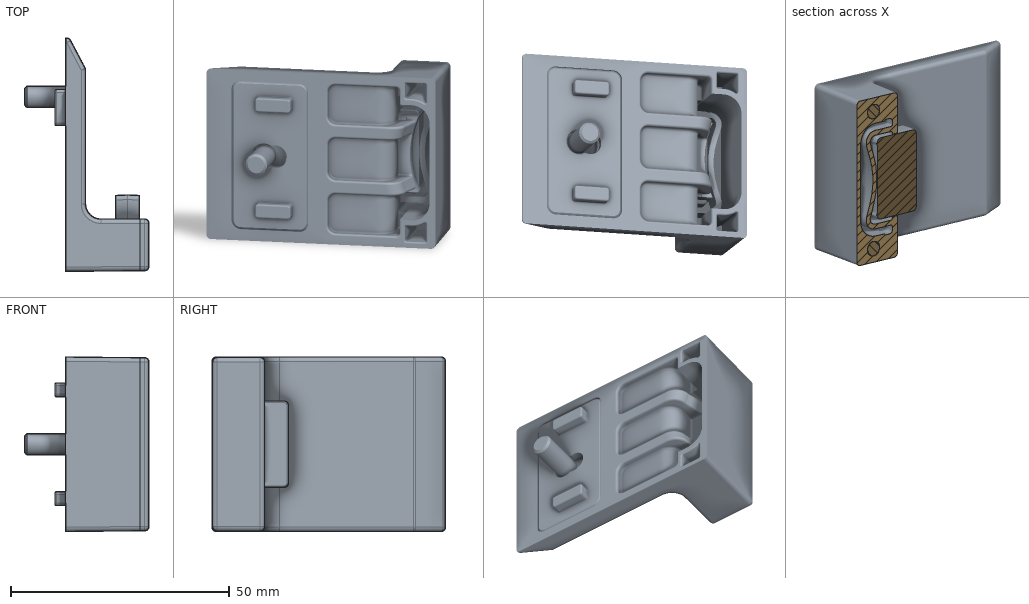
import cadquery as cq
import math

length = 53.5
height = 40.0
joint_x = 17.05
draft_angle = 0.5
cover_thickness = 2.05
outer_depth = joint_x + cover_thickness
edge_radius = 1.0

plate_thickness = 4.6
tip_thickness = 0.85
slope_start_y = 46.4
foot_width = 12.05
bend_radius = 3.5

pocket_depth = 1.6
pocket_end_y = 25.25
pocket_wall_y = 10.45
pocket_floor_x = 8.55
pocket_corner_radius = 1.9
pocket_low_corner_radius = 0.85
pocket_edge_radius = 0.5
rib_start_y = 21.4
outer_pocket_low_y = 8.4
middle_pocket_low_y = 5.35
middle_pocket_half_height = 5.05
outer_pocket_z = (8.1, 17.5)

chamber_low_y = 1.35
chamber_half_height = 13.55
chamber_corner_radius = 4.3
relief_half_height = 13.85
guide_half_height = 8.85
relief_radius = 0.8
rib_end_y = 7.7
rib_end_lean = 1.2
rib_nose_radius = 3.55

spring_thickness = 1.3
spring_start_x = 11.4
spring_end_x = 16.6
spring_arm_z = 11.3
spring_corner_y = 5.5
spring_corner_radius = 2.05
spring_crest_y = 5.4
spring_bow_angle = math.radians(17.7)
spring_root_radius = 0.45

button_start_x = 11.4
button_end_x = 16.95
button_low_y = spring_crest_y + spring_thickness / 2
button_tip_y = 17.55
button_draft_angle = 2.0
button_half_height = 9.9
button_corner_radius = 1.05
button_edge_radius = 0.25

peg_y = 5.05
peg_z = 16.55
peg_radius = 1.65
peg_pocket_depth = 13.4
peg_pocket_y = (2.15, 7.1)
peg_pocket_top_z = 18.6
peg_pocket_wall = 1.4
peg_pocket_radius = 0.3
peg_pocket_rim_radius = 0.4

insert_thickness = 1.6
insert_y = (29.75, 47.65)
insert_height = 34.9
insert_corner_radius = 2.15
insert_chamfer = 0.55
key_length = 8.25
key_width = 3.2
key_root_radius = 0.15
key_projection = 2.45
key_y = 37.55
key_z = 12.45
key_corner_radius = 0.65
key_tip_radius = 0.4

bolt_y = 40.0
bolt_radius = 2.45
bolt_projection = 9.4
bolt_chamfer = 0.55
bolt_head_radius = 4.85
insert_hole_radius = 2.7
insert_hole_chamfer = 0.3

chamber_corner_y = chamber_low_y + chamber_corner_radius
chamber_corner_z = chamber_half_height - chamber_corner_radius
insert_middle_y = sum(insert_y) / 2


def spring_crest_radius():
    """Centre-line radius of the bow that runs tangent into the slanted legs."""
    sine, cosine = math.sin(spring_bow_angle), math.cos(spring_bow_angle)
    leg_y = spring_corner_y - spring_corner_radius * cosine
    leg_z = spring_arm_z - spring_corner_radius * (1 + sine)
    return (leg_y + leg_z * sine / cosine - spring_crest_y) / (1 / cosine - 1)


bow_radius = spring_crest_radius()
bow_centre_y = spring_crest_y - bow_radius
zone_margin = 0.05


def box(x_range, y_range, z_range):
    sizes = [max(r) - min(r) for r in (x_range, y_range, z_range)]
    corner = [min(r) for r in (x_range, y_range, z_range)]
    return cq.Workplane("XY").box(*sizes, centered=False).translate(tuple(corner))


def both_ends(shape):
    """The shape together with its mirror image about Z = 0."""
    return shape.union(shape.mirror("XY"))


def outer_shell():
    """Housing and cover as one rounded L-shaped block, before they are split."""
    block = (
        cq.Workplane("YZ").center(length / 2, 0).rect(length, height)
        .extrude(outer_depth, taper=draft_angle)
    )
    profile = (
        cq.Workplane("XY").moveTo(0, 0)
        .lineTo(outer_depth, 0)
        .lineTo(outer_depth, foot_width)
        .lineTo(plate_thickness + bend_radius, foot_width)
        .radiusArc((plate_thickness, foot_width + bend_radius), bend_radius)
        .lineTo(plate_thickness, slope_start_y)
        .lineTo(tip_thickness, length)
        .lineTo(0, length)
        .close()
        .extrude(height / 2, both=True)
    )
    blank = block.intersect(profile)
    return blank.edges("not(<X or >Y)").fillet(edge_radius)


def chamber_section():
    """Chamber outline, its corners rounded on the -Y side only."""
    y_range = (chamber_low_y, pocket_wall_y + rib_nose_radius)
    section = box((0, joint_x), y_range, (-chamber_half_height, chamber_half_height))
    return section.edges("|X and <Y").fillet(chamber_corner_radius)


def rib_clearance():
    """Round plug about the bow axis that leaves curved, round-nosed rib ends."""
    end_radius = rib_end_y - bow_centre_y
    nose_radius = end_radius + rib_end_lean
    return (
        cq.Workplane("XY").moveTo(0, 0)
        .lineTo(0, nose_radius + rib_nose_radius)
        .radiusArc((rib_nose_radius, nose_radius), -rib_nose_radius)
        .lineTo(pocket_floor_x, end_radius)
        .lineTo(joint_x, end_radius)
        .lineTo(joint_x, 0)
        .close()
        .revolve(360, (0, 0, 0), (1, 0, 0))
        .translate((0, bow_centre_y, 0))
    )


def spring_chamber():
    """Room for the bowed spring, with a rounded relief slot beside each spring arm."""
    section = chamber_section()
    front_box = box((0, pocket_floor_x), (0, outer_pocket_low_y), (outer_pocket_z[0], chamber_half_height))
    deep_box = box((0, joint_x), (0, outer_pocket_low_y), (guide_half_height, chamber_half_height))
    relief = (
        box((pocket_floor_x - pocket_edge_radius, joint_x), (outer_pocket_low_y, pocket_wall_y),
            (guide_half_height, relief_half_height))
        .edges("|X and >Y").fillet(relief_radius)
    )
    arm_room = section.intersect(front_box.union(deep_box)).union(relief)
    return section.intersect(rib_clearance()).union(both_ends(arm_room))


def pocket_blank(z_range, high_y, low_y):
    """Sharp-edged pocket that follows the inner bend from the plate into the foot."""
    z_low, z_high = z_range
    return (
        cq.Workplane("XY").workplane(offset=z_low).moveTo(0, high_y)
        .lineTo(pocket_depth, high_y)
        .lineTo(pocket_depth, pocket_wall_y + rib_nose_radius)
        .radiusArc((pocket_depth + rib_nose_radius, pocket_wall_y), -rib_nose_radius)
        .lineTo(pocket_floor_x, pocket_wall_y)
        .lineTo(pocket_floor_x, low_y)
        .lineTo(0, low_y)
        .close()
        .extrude(z_high - z_low)
    )


def pocket(z_range, low_y):
    """Pocket with rounded corners and a rounded floor."""
    return (
        pocket_blank(z_range, pocket_end_y, low_y)
        .edges("|X and >Y").fillet(pocket_corner_radius)
        .edges("(|X and <Y) and >Z").fillet(pocket_low_corner_radius)
        .edges("(|Z and >X) or (<Z or >Z) exc (<X or (|X and <Y))").fillet(pocket_edge_radius)
    )


def rib_zone():
    """Space of one rib between two pockets, from the floor up to the mounting face."""
    z_range = (middle_pocket_half_height, outer_pocket_z[0])
    return pocket_blank(z_range, rib_start_y, chamber_low_y)


def rib_end():
    """Curved end of one rib, its long edges rounded."""
    z_range = (middle_pocket_half_height, outer_pocket_z[0])
    bar = box((0, pocket_floor_x), (chamber_low_y, rib_start_y), z_range).cut(rib_clearance())
    bar = bar.faces("<Z or >Z").edges("not(>X or >Y)").fillet(pocket_edge_radius)
    return bar.intersect(rib_zone())


def bolt_head_bore():
    """Blind bore behind the insert that holds the bolt head."""
    bore = cq.Workplane("YZ", origin=(insert_thickness, bolt_y, 0)).circle(bolt_head_radius)
    return bore.extrude(bolt_head_radius - bolt_radius)


def button_window():
    """Straight slot in which the button slides, closed by the cover."""
    z_range = (-button_half_height, button_half_height)
    return box((button_start_x, joint_x), (button_low_y, button_tip_y), z_range)


def peg_pocket():
    """Corner pocket beside the chamber, one side following the chamber corner."""
    low_y, high_y = peg_pocket_y
    arc_radius = chamber_corner_radius + peg_pocket_wall
    low_z = chamber_corner_z + math.sqrt(arc_radius**2 - (chamber_corner_y - low_y) ** 2)
    flat_z = chamber_corner_z + arc_radius
    return (
        cq.Workplane("YZ").moveTo(high_y, flat_z)
        .lineTo(high_y, peg_pocket_top_z)
        .lineTo(low_y, peg_pocket_top_z)
        .lineTo(low_y, low_z)
        .radiusArc((chamber_corner_y, flat_z), arc_radius)
        .close()
        .extrude(peg_pocket_depth)
        .edges("|X").fillet(peg_pocket_radius)
    )


def pegs():
    peg = (
        cq.Workplane("YZ", origin=(peg_pocket_depth, peg_y, peg_z)).circle(peg_radius)
        .extrude(joint_x - peg_pocket_depth)
    )
    return both_ends(peg)


def spring_side(offset):
    """(Y, Z) points along one side of the half spring, from the arm to the crest."""
    corner_r = spring_corner_radius + offset
    crest_r = bow_radius - offset
    corner_z = spring_arm_z - spring_corner_radius

    def corner_point(angle):
        return (spring_corner_y - corner_r * math.cos(angle), corner_z - corner_r * math.sin(angle))

    def crest_point(angle):
        return (bow_centre_y + crest_r * math.cos(angle), crest_r * math.sin(angle))

    arm_end = corner_point(-math.pi / 2)
    corner_middle = corner_point((spring_bow_angle - math.pi / 2) / 2)
    leg_start = corner_point(spring_bow_angle)
    leg_end = crest_point(spring_bow_angle)
    return arm_end, corner_middle, leg_start, leg_end, crest_point(spring_bow_angle / 2), crest_point(0)


def half_spring():
    """Arm, corner, slanted leg and half of the bow, up to Z = 0."""
    outer = spring_side(spring_thickness / 2)
    inner = spring_side(-spring_thickness / 2)
    return (
        cq.Workplane("YZ", origin=(spring_start_x, 0, 0)).moveTo(pocket_wall_y, outer[0][1])
        .lineTo(*outer[0])
        .threePointArc(outer[1], outer[2])
        .lineTo(*outer[3])
        .threePointArc(outer[4], outer[5])
        .lineTo(*inner[5])
        .threePointArc(inner[4], inner[3])
        .lineTo(*inner[2])
        .threePointArc(inner[1], inner[0])
        .lineTo(pocket_wall_y, inner[0][1])
        .close()
        .extrude(spring_end_x - spring_start_x)
    )


def zone(x_range, y_range, z_range):
    """Selector for edges whose centres lie in a box, widened a little on every side."""
    ranges = (x_range, y_range, z_range)
    return cq.selectors.BoxSelector(
        [min(r) - zone_margin for r in ranges],
        [max(r) + zone_margin for r in ranges])


def cut_pockets(body):
    """Cut all pockets and round their rims on the mounting face."""
    middle_z = (-middle_pocket_half_height, middle_pocket_half_height)
    body = body.cut(both_ends(pocket(outer_pocket_z, outer_pocket_low_y)))
    body = body.cut(pocket(middle_z, middle_pocket_low_y))
    pocket_rims = zone((0, 0), (middle_pocket_low_y, pocket_end_y), (-outer_pocket_z[1], outer_pocket_z[1]))
    body = body.edges(pocket_rims).fillet(pocket_edge_radius)
    body = body.cut(both_ends(peg_pocket()))
    for side in (-1, 1):
        peg_rim = zone((0, 0), peg_pocket_y, (side * chamber_half_height, side * peg_pocket_top_z))
        body = body.edges(peg_rim).fillet(peg_pocket_rim_radius)
    return body


def add_springs(body):
    """Join the spring to the wall, with rounded roots on both arms."""
    body = body.union(both_ends(half_spring()))
    for arm_z in (spring_arm_z, -spring_arm_z):
        arm_sides = (arm_z - spring_thickness / 2, arm_z + spring_thickness / 2)
        roots = zone((spring_start_x, spring_end_x), (pocket_wall_y, pocket_wall_y), arm_sides)
        body = body.edges("|X").edges(roots).fillet(spring_root_radius)
    return body


def build_housing():
    body = outer_shell().intersect(box((0, joint_x), (0, length), (-height, height)))
    body = cut_pockets(body)
    body = body.cut(spring_chamber()).cut(both_ends(rib_zone()))
    body = body.union(both_ends(rib_end()))
    body = body.cut(pegs()).cut(button_window())
    body = add_springs(body)
    return body.cut(insert_blank()).cut(bolt_head_bore())


def build_button():
    """Button with draft towards both ends of its travel slot."""
    size_y = button_tip_y - button_low_y
    half_depth = (button_end_x - button_start_x) / 2
    half = (
        cq.Workplane("YZ").center(button_low_y + size_y / 2, 0)
        .rect(size_y, 2 * button_half_height)
        .extrude(half_depth, taper=button_draft_angle)
        .edges("not(|Y or |Z)").fillet(button_corner_radius)
        .faces(">X").edges().fillet(button_edge_radius)
    )
    return half.union(half.mirror("YZ")).translate((button_start_x + half_depth, 0, 0))


def build_cover():
    plate = outer_shell().intersect(box((joint_x, outer_depth), (0, length), (-height, height)))
    return plate.union(pegs())


def insert_blank():
    return (
        cq.Workplane("YZ").center(insert_middle_y, 0)
        .rect(insert_y[1] - insert_y[0], insert_height).extrude(insert_thickness)
        .edges("|X").fillet(insert_corner_radius)
    )


def key():
    return (
        box((-key_projection, 0), (key_y - key_length / 2, key_y + key_length / 2),
            (key_z - key_width / 2, key_z + key_width / 2))
        .edges("|X").fillet(key_corner_radius)
        .faces("<X").edges().fillet(key_tip_radius)
    )


def build_insert():
    plate = insert_blank().faces("<X").edges().chamfer(insert_chamfer)
    other_hole_y = 2 * insert_middle_y - bolt_y
    for hole_y in (bolt_y, other_hole_y):
        hole = cq.Workplane("YZ").center(hole_y, 0).circle(insert_hole_radius).extrude(insert_thickness)
        plate = plate.cut(hole)
    countersink = cq.Solid.makeCone(
        insert_hole_radius + insert_hole_chamfer, insert_hole_radius, insert_hole_chamfer,
        cq.Vector(0, bolt_y, 0), cq.Vector(1, 0, 0))
    plate = plate.cut(cq.Workplane(countersink)).union(both_ends(key()))
    for side in (-1, 1):
        root_zone = zone(
            (0, 0), (key_y - key_length / 2, key_y + key_length / 2),
            (side * key_z - key_width / 2, side * key_z + key_width / 2))
        plate = plate.edges(root_zone).fillet(key_root_radius)
    return plate


def build_bolt():
    """Bolt whose conical head is trapped behind the insert."""
    head_height = bolt_head_radius - bolt_radius
    return (
        cq.Workplane("XY").moveTo(-bolt_projection, 0)
        .lineTo(-bolt_projection, bolt_radius - bolt_chamfer)
        .lineTo(-bolt_projection + bolt_chamfer, bolt_radius)
        .lineTo(insert_thickness, bolt_radius)
        .lineTo(insert_thickness + head_height, bolt_head_radius)
        .lineTo(insert_thickness + head_height, 0)
        .close()
        .revolve(360, (0, 0, 0), (1, 0, 0))
        .translate((0, bolt_y, 0))
    )


housing = build_housing()
cover = build_cover()
button = build_button()
insert = build_insert()
bolt = build_bolt()

result = cq.Compound.makeCompound([housing.val(), cover.val(), button.val(), insert.val(), bolt.val()])